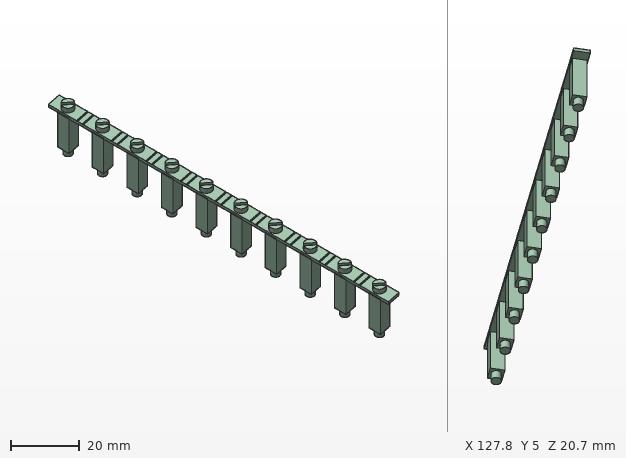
import cadquery as cq

bar_length = 127.8
bar_width = 5.0
bar_thickness = 1.2

post_count = 10
end_overhang = 5.4
post_pitch = (bar_length - 2 * end_overhang) / (post_count - 1)

total_height = 20.7
head_height = 1.9
post_side = 4.3
pin_diameter = 3.1
pin_length = 2.8
post_length = total_height - head_height - bar_thickness - pin_length

head_diameter = 4.1
slot_width = 0.9
slot_depth = 1.2
slot_angle = 45

groove_width = 0.45
groove_depth = groove_width / 2
groove_spacing = 2.2

post_positions = [end_overhang + i * post_pitch for i in range(post_count)]


def make_groove(root):
    """V-shaped cutter across the top of the bar, with its root at X = root."""
    return (
        cq.Workplane("XZ")
        .polyline([(root - groove_width / 2, 0), (root, -groove_depth), (root + groove_width / 2, 0)])
        .close()
        .extrude(bar_width / 2, both=True)
    )


def make_bar():
    """Flat strip with a pair of cross grooves midway between neighbouring posts."""
    bar = cq.Workplane("XY").box(bar_length, bar_width, bar_thickness, centered=(False, True, False))
    bar = bar.translate((0, 0, -bar_thickness))
    for x in post_positions[:-1]:
        middle = x + post_pitch / 2
        for root in (middle - groove_spacing / 2, middle + groove_spacing / 2):
            bar = bar.cut(make_groove(root))
    return bar


def make_head():
    """Slotted round head, centred on the origin and standing on the bar top."""
    head = cq.Workplane("XY").circle(head_diameter / 2).extrude(head_height)
    slot = (
        cq.Workplane("XY", origin=(0, 0, head_height))
        .transformed(rotate=(0, 0, slot_angle))
        .rect(2 * head_diameter, slot_width)
        .extrude(-slot_depth)
    )
    return head.cut(slot)


def make_post():
    """Square post under the bar, ending in a round pin."""
    return (
        cq.Workplane("XY", origin=(0, 0, -bar_thickness))
        .rect(post_side, post_side)
        .extrude(-post_length)
        .faces("<Z")
        .workplane()
        .circle(pin_diameter / 2)
        .extrude(pin_length)
    )


head = make_head()
post = make_post()
result = make_bar()
for x in post_positions:
    result = result.union(head.translate((x, 0, 0)))
    result = result.union(post.translate((x, 0, 0)))